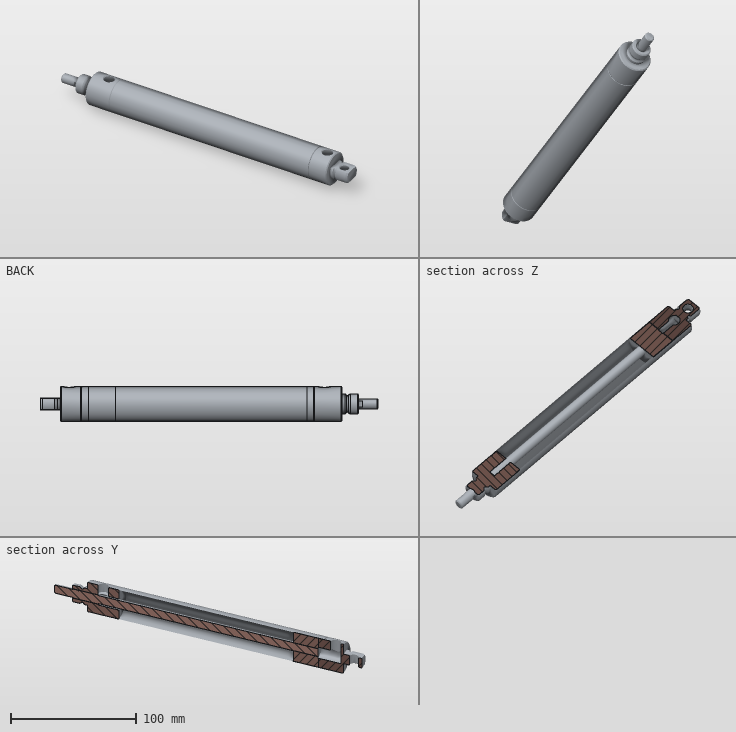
import cadquery as cq
import math

TOTAL_LENGTH = 270.0
ROD_NECK_START = 12.5
NOSE_FACE = 15.7
HEAD_FACE = 29.0
TUBE_START = 51.5
TUBE_END = 237.0
CAP_FACE = 254.0

BARREL_DIAMETER = 28.0
TUBE_WALL = 0.5
EDGE_CHAMFER = 0.8
JOINT_BEVEL_LENGTH = 0.8
SPIGOT_LENGTH = 5.5

ROD_DIAMETER = 8.0
ROD_TIP_CHAMFER = 0.8
ROD_FLATS_WIDTH = 6.7
PISTON_LENGTH = 21.9

NOSE_DIAMETER = 16.2
NOSE_BORE_CHAMFER = 1.0
NOSE_GROOVE_START = 22.0
NOSE_GROOVE_END = 26.5
NOSE_GROOVE_SIDE_DEPTH = 1.0
NOSE_GROOVE_DEPTH = 1.5
NOSE_GROOVE_FLOOR_START = 23.7
NOSE_GROOVE_FLOOR_END = 25.5

PORT_DIAMETER = 9.0
PORT_TIP_ANGLE = 118.0
HEAD_PORT_OPENING_DIAMETER = 7.5
PORT_MOUTH_DIAMETER = 10.5
HEAD_PORT_X = 43.0
CAP_PORT_X = 247.0
CHAMBER_DIAMETER = 10.0

TONGUE_DIAMETER = 16.2
TONGUE_THICKNESS = 9.5
TONGUE_GROOVE_START = 256.5
TONGUE_GROOVE_END = 258.8
TONGUE_GROOVE_DEPTH = 1.3
TONGUE_BEVEL_LENGTH = 1.5
TONGUE_BEVEL_HEIGHT = 0.8
PIN_HOLE_X = 262.9
PIN_HOLE_DIAMETER = 7.3
PIN_HOLE_MOUTH_DIAMETER = 9.0

BARREL_RADIUS = BARREL_DIAMETER / 2
BORE_RADIUS = BARREL_RADIUS - TUBE_WALL
NOSE_RADIUS = NOSE_DIAMETER / 2
TONGUE_RADIUS = TONGUE_DIAMETER / 2
HEAD_SPIGOT_END = TUBE_START + SPIGOT_LENGTH
CAP_SPIGOT_START = TUBE_END - SPIGOT_LENGTH
HEAD_CHAMBER_START = HEAD_PORT_X - PORT_DIAMETER / 2
CAP_CHAMBER_END = CAP_PORT_X + PORT_DIAMETER / 2
PISTON_END = CAP_SPIGOT_START
PISTON_START = PISTON_END - PISTON_LENGTH


def round_bar(start, end, diameter):
    """Solid round bar along X between two places."""
    return cq.Workplane("YZ").workplane(offset=start).circle(diameter / 2).extrude(end - start)


def revolved(outline):
    """Solid made by turning a closed (x, radius) outline around the X axis."""
    return outline.revolve(360, (0, 0, 0), (1, 0, 0))


def countersink(x, face_z, mouth_diameter, hole_diameter):
    """45 degree cone that narrows downward from face_z to the hole diameter."""
    depth = (mouth_diameter - hole_diameter) / 2
    cone = cq.Solid.makeCone(
        mouth_diameter / 2, hole_diameter / 2, depth, cq.Vector(x, 0, face_z), cq.Vector(0, 0, -1)
    )
    return cq.Workplane(obj=cone)


def straight_port(x, floor_z):
    """Countersunk hole from the top of the barrel down to floor_z."""
    floor = cq.Workplane("XY").workplane(offset=floor_z).center(x, 0)
    hole = floor.circle(PORT_DIAMETER / 2).extrude(BARREL_DIAMETER)
    return hole.union(countersink(x, BARREL_RADIUS, PORT_MOUTH_DIAMETER, PORT_DIAMETER))


def head_port():
    """Countersunk drilled hole whose pointed tip breaks into the chamber around the rod."""
    tip_slope = math.tan(math.radians(PORT_TIP_ANGLE / 2))
    tip_length = PORT_DIAMETER / 2 / tip_slope
    tip_base_z = CHAMBER_DIAMETER / 2 + (PORT_DIAMETER - HEAD_PORT_OPENING_DIAMETER) / 2 / tip_slope
    tip = cq.Solid.makeCone(
        PORT_DIAMETER / 2, 0, tip_length, cq.Vector(HEAD_PORT_X, 0, tip_base_z), cq.Vector(0, 0, -1)
    )
    return straight_port(HEAD_PORT_X, tip_base_z).union(cq.Workplane(obj=tip))


def make_tube():
    """Thin-walled barrel between the head and the cap."""
    tube = round_bar(TUBE_START, TUBE_END, BARREL_DIAMETER)
    return tube.cut(round_bar(TUBE_START, TUBE_END, 2 * BORE_RADIUS))


def nose_bore_chamfer():
    """Cone that bevels the mouth of the rod bore."""
    rod_radius = ROD_DIAMETER / 2
    cone = cq.Solid.makeCone(
        rod_radius + NOSE_BORE_CHAMFER, rod_radius, NOSE_BORE_CHAMFER,
        cq.Vector(NOSE_FACE, 0, 0), cq.Vector(1, 0, 0)
    )
    return cq.Workplane(obj=cone)


def make_head():
    """Front end with its grooved nose, rod bore, chamber and air port."""
    floor_edge_radius = NOSE_RADIUS - NOSE_GROOVE_SIDE_DEPTH
    floor_middle = (NOSE_GROOVE_FLOOR_START + NOSE_GROOVE_FLOOR_END) / 2
    outline = (
        cq.Workplane("XY")
        .moveTo(NOSE_FACE, 0)
        .lineTo(NOSE_FACE, NOSE_RADIUS - EDGE_CHAMFER)
        .lineTo(NOSE_FACE + EDGE_CHAMFER, NOSE_RADIUS)
        .lineTo(NOSE_GROOVE_START, NOSE_RADIUS)
        .lineTo(NOSE_GROOVE_FLOOR_START, floor_edge_radius)
        .threePointArc(
            (floor_middle, NOSE_RADIUS - NOSE_GROOVE_DEPTH), (NOSE_GROOVE_FLOOR_END, floor_edge_radius)
        )
        .lineTo(NOSE_GROOVE_END, NOSE_RADIUS)
        .lineTo(HEAD_FACE, NOSE_RADIUS)
        .lineTo(HEAD_FACE, BARREL_RADIUS - EDGE_CHAMFER)
        .lineTo(HEAD_FACE + EDGE_CHAMFER, BARREL_RADIUS)
        .lineTo(TUBE_START - JOINT_BEVEL_LENGTH, BARREL_RADIUS)
        .lineTo(TUBE_START, BORE_RADIUS)
        .lineTo(HEAD_SPIGOT_END, BORE_RADIUS)
        .lineTo(HEAD_SPIGOT_END, 0)
        .close()
    )
    head = revolved(outline)
    head = head.cut(round_bar(NOSE_FACE, HEAD_SPIGOT_END, ROD_DIAMETER))
    head = head.cut(round_bar(HEAD_CHAMBER_START, HEAD_SPIGOT_END, CHAMBER_DIAMETER))
    head = head.cut(nose_bore_chamfer())
    return head.cut(head_port())


def make_cap_body():
    """Round part of the rear cap with its chamber and air port."""
    outline = cq.Workplane("XY").polyline([
        (CAP_SPIGOT_START, 0),
        (CAP_SPIGOT_START, BORE_RADIUS),
        (TUBE_END, BORE_RADIUS),
        (TUBE_END + JOINT_BEVEL_LENGTH, BARREL_RADIUS),
        (CAP_FACE - EDGE_CHAMFER, BARREL_RADIUS),
        (CAP_FACE, BARREL_RADIUS - EDGE_CHAMFER),
        (CAP_FACE, 0),
    ]).close()
    body = revolved(outline)
    body = body.cut(round_bar(CAP_SPIGOT_START, CAP_CHAMBER_END, CHAMBER_DIAMETER))
    return body.cut(straight_port(CAP_PORT_X, 0))


def make_tongue():
    """Grooved round bar with flats above and below and a countersunk pin hole."""
    groove_middle = (TONGUE_GROOVE_START + TONGUE_GROOVE_END) / 2
    outline = (
        cq.Workplane("XY")
        .moveTo(CAP_FACE, 0)
        .lineTo(CAP_FACE, TONGUE_RADIUS)
        .lineTo(TONGUE_GROOVE_START, TONGUE_RADIUS)
        .threePointArc(
            (groove_middle, TONGUE_RADIUS - TONGUE_GROOVE_DEPTH), (TONGUE_GROOVE_END, TONGUE_RADIUS)
        )
        .lineTo(TOTAL_LENGTH - TONGUE_BEVEL_LENGTH, TONGUE_RADIUS)
        .lineTo(TOTAL_LENGTH, TONGUE_RADIUS - TONGUE_BEVEL_HEIGHT)
        .lineTo(TOTAL_LENGTH, 0)
        .close()
    )
    bar = revolved(outline)
    slab = cq.Workplane("XY").box(2 * TOTAL_LENGTH, TONGUE_DIAMETER, TONGUE_THICKNESS)
    tongue = bar.intersect(slab)
    hole = (
        cq.Workplane("XY").center(PIN_HOLE_X, 0)
        .circle(PIN_HOLE_DIAMETER / 2).extrude(TONGUE_THICKNESS, both=True)
    )
    top_sink = countersink(PIN_HOLE_X, TONGUE_THICKNESS / 2, PIN_HOLE_MOUTH_DIAMETER, PIN_HOLE_DIAMETER)
    return tongue.cut(hole).cut(top_sink).cut(top_sink.mirror("XY"))


def make_cap():
    """Rear cap and its clevis tongue in one piece."""
    return make_cap_body().union(make_tongue())


def make_rod():
    """Piston rod with two wrench flats on the +Y and -Y sides, just ahead of the nose."""
    rod = round_bar(0, PISTON_END, ROD_DIAMETER).faces("<X").chamfer(ROD_TIP_CHAMFER)
    neck_length = NOSE_FACE - ROD_NECK_START
    neck = cq.Workplane("YZ").workplane(offset=ROD_NECK_START)
    flats = neck.rect(2 * ROD_DIAMETER, 2 * ROD_DIAMETER).rect(ROD_FLATS_WIDTH, 2 * ROD_DIAMETER)
    return rod.cut(flats.extrude(neck_length))


def make_piston():
    """Ring on the inner end of the rod that fills the tube bore."""
    piston = round_bar(PISTON_START, PISTON_END, 2 * BORE_RADIUS)
    return piston.cut(round_bar(PISTON_START, PISTON_END, ROD_DIAMETER))


tube = make_tube()
head = make_head()
cap = make_cap()
rod = make_rod()
piston = make_piston()

result = cq.Compound.makeCompound([tube.val(), head.val(), cap.val(), rod.val(), piston.val()])